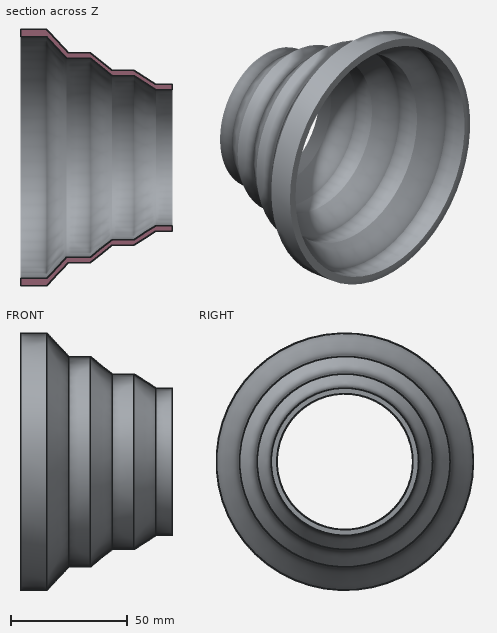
import cadquery as cq

total_length = 65.0
mouth_length = 11.2
step_length = 28.0 / 3
first_bore_lead = 0.9

outer_diameters = [110.0, 90.0, 75.0, 63.0]
inner_diameters = [103.2, 85.0, 70.0, 58.0]


def cylinder_spans():
    """Start and end X of each outer cylinder; cones fill the gaps between them."""
    spans = [(0.0, mouth_length)]
    for _ in outer_diameters[1:]:
        start = spans[-1][1] + step_length
        spans.append((start, start + step_length))
    spans[-1] = (spans[-1][0], total_length)
    return spans


def bore_spans():
    """Start and end X of each bore; only the second one differs from the outside."""
    spans = cylinder_spans()
    start, end = spans[1]
    spans[1] = (start - first_bore_lead, end)
    return spans


def stepped_profile(spans, diameters):
    """Points (X, radius) along a stepped wall, from wide end to narrow end."""
    points = []
    for (start, end), diameter in zip(spans, diameters):
        points.append((start, diameter / 2))
        points.append((end, diameter / 2))
    return points


def make_reducer():
    outer_wall = stepped_profile(cylinder_spans(), outer_diameters)
    inner_wall = stepped_profile(bore_spans(), inner_diameters)
    section = cq.Workplane("XY").polyline(outer_wall + inner_wall[::-1]).close()
    return section.revolve(360, (0, 0, 0), (1, 0, 0))


result = make_reducer()